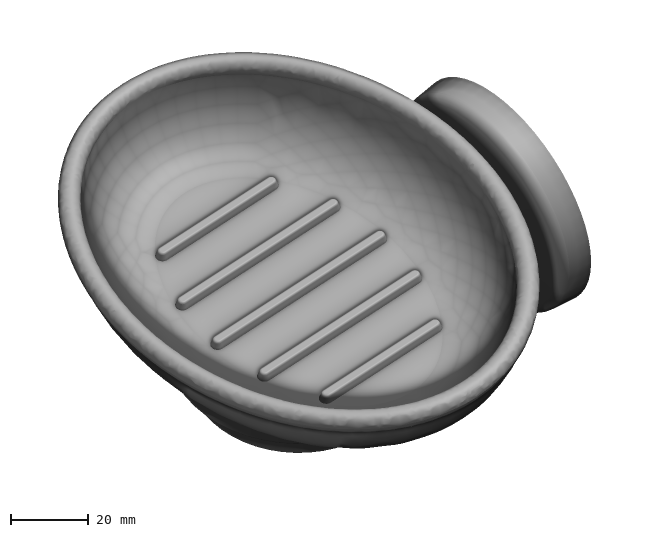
import cadquery as cq
import math

dish_length = 140.0
dish_width = 110.0
rim_radius = 3.0
floor_half_length = 44.8
bowl_outer_radius = 23.7

rim_half_length = dish_length / 2 - rim_radius
rim_half_width = dish_width / 2 - rim_radius
rim_z = -rim_radius
curve_inset = rim_half_length - floor_half_length
floor_half_width = rim_half_width - curve_inset
bowl_inner_radius = curve_inset - rim_radius
wall_thickness = bowl_outer_radius - bowl_inner_radius
floor_z = rim_z - bowl_inner_radius
dish_bottom_z = rim_z - bowl_outer_radius

rib_count = 5
rib_pitch = 16.1
rib_width = 3.8
rib_end_gap = 0.4
rib_height = 2.2
rib_draft = 18.0
rib_top_fillet = 0.7

ring_radius = 34.5
ring_height = 16.2
ring_fillet = 1.0
foot_radius = 28.8
foot_height = 26.0
foot_fillet = 0.8

ring_bottom_z = dish_bottom_z - ring_height

plate_back_y = 70.7
plate_radius = 33.0
plate_side_radius = 32.3
plate_side_depth = 6.7
plate_face_radius = 29.1
plate_face_depth = 9.8
plate_depth = 11.5
rod_radius = 6.6
rod_fillet = 1.3

rod_z = dish_bottom_z - ring_height / 2


def oval_at(half_length, half_width, z):
    """Horizontal ellipse centred on the dish axis."""
    return cq.Workplane("XY", origin=(0, 0, z)).ellipse(half_length, half_width)


def make_bowl_wall():
    """Curved wall: a quarter ring section carried around the oval edge of the floor."""
    diagonal = math.sqrt(0.5)
    x = floor_half_length
    section = (
        cq.Workplane("XZ")
        .moveTo(x, floor_z)
        .threePointArc(
            (x + diagonal * bowl_inner_radius, rim_z - diagonal * bowl_inner_radius),
            (x + bowl_inner_radius, rim_z),
        )
        .lineTo(x + bowl_outer_radius, rim_z)
        .threePointArc(
            (x + diagonal * bowl_outer_radius, rim_z - diagonal * bowl_outer_radius),
            (x, dish_bottom_z),
        )
        .close()
    )
    return section.sweep(oval_at(floor_half_length, floor_half_width, dish_bottom_z))


def make_rim():
    """Round bead along the top of the bowl wall."""
    section = cq.Workplane("XZ", origin=(rim_half_length, 0, rim_z)).circle(rim_radius)
    return section.sweep(oval_at(rim_half_length, rim_half_width, rim_z))


def make_rib(x):
    """Round-ended rib across the floor, ending just short of the floor's oval edge."""
    half_chord = floor_half_width * math.sqrt(1 - (x / floor_half_length) ** 2)
    length = 2 * (half_chord - rib_end_gap)
    return (
        cq.Workplane("XY", origin=(x, 0, floor_z))
        .slot2D(length, rib_width, 90)
        .extrude(rib_height, taper=rib_draft)
        .faces(">Z")
        .edges()
        .fillet(rib_top_fillet)
    )


def make_dish():
    """Bowl, rim, ribs and foot as one body."""
    dish = oval_at(floor_half_length, floor_half_width, dish_bottom_z).extrude(wall_thickness)
    dish = dish.union(make_bowl_wall()).union(make_rim())
    middle = (rib_count - 1) / 2
    for index in range(rib_count):
        dish = dish.union(make_rib((index - middle) * rib_pitch))
    foot = (
        cq.Workplane("XY", origin=(0, 0, dish_bottom_z - foot_height))
        .circle(foot_radius)
        .extrude(foot_height)
        .faces("<Z")
        .edges()
        .fillet(foot_fillet)
    )
    return dish.union(foot)


def make_ring():
    """Plain ring under the dish, fitted around the foot."""
    return (
        cq.Workplane("XY", origin=(0, 0, ring_bottom_z))
        .circle(ring_radius)
        .extrude(ring_height)
        .edges()
        .fillet(ring_fillet)
        .cut(cq.Workplane("XY", origin=(0, 0, ring_bottom_z)).circle(foot_radius).extrude(ring_height))
    )


def make_wall_mount():
    """Turned plate and rod, with the rod's end shaped to the outside of the ring."""
    fillet_y = plate_back_y - plate_depth - rod_fillet
    diagonal = math.sqrt(0.5)
    edge_run = plate_side_radius - plate_face_radius
    edge_depth = plate_face_depth - plate_side_depth
    half_section = (
        cq.Workplane("XY")
        .moveTo(0, 0)
        .lineTo(0, plate_back_y)
        .lineTo(plate_radius, plate_back_y)
        .lineTo(plate_side_radius, plate_back_y - plate_side_depth)
        .threePointArc(
            (
                plate_face_radius + diagonal * edge_run,
                plate_back_y - plate_side_depth - diagonal * edge_depth,
            ),
            (plate_face_radius, plate_back_y - plate_face_depth),
        )
        .lineTo(rod_radius + rod_fillet, plate_back_y - plate_depth)
        .radiusArc((rod_radius, fillet_y), -rod_fillet)
        .lineTo(rod_radius, 0)
        .close()
    )
    mount = half_section.revolve(360, (0, 0, 0), (0, 1, 0)).translate((0, 0, rod_z))
    ring_envelope = cq.Workplane("XY", origin=(0, 0, ring_bottom_z)).circle(ring_radius).extrude(ring_height)
    return mount.cut(ring_envelope)


dish = make_dish()
ring = make_ring()
wall_mount = make_wall_mount()

result = cq.Compound.makeCompound([dish.val(), ring.val(), wall_mount.val()])